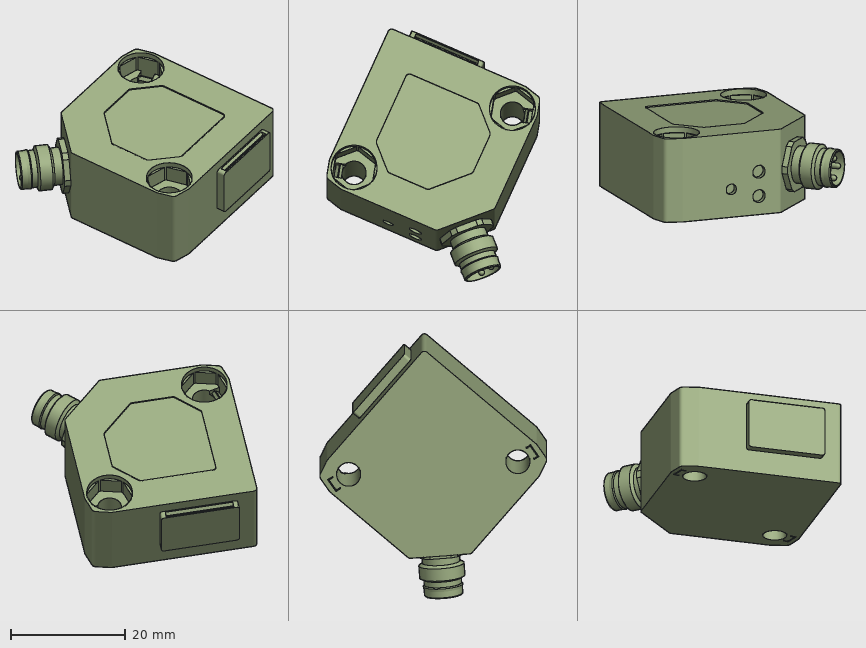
import cadquery as cq
import math

OVERALL_LENGTH = 35.95

BODY_SIDE = 30.0
BODY_HEIGHT = 15.05
HALF_SIDE = BODY_SIDE / 2
TOP_Z = BODY_HEIGHT / 2

CONNECTOR_CORNER_CUT = 7.7
CONNECTOR_CORNER_RADIUS = 0.65
PLAIN_CORNER_RADIUS = 0.7

BEVEL_LENGTH = 4.0
BEVEL_ANGLE = math.radians(15)
BEVEL_TIP = BEVEL_LENGTH * math.tan(BEVEL_ANGLE) / (1 + math.tan(BEVEL_ANGLE))
BEVEL_TIP_RADIUS = 0.9
BEVEL_END_RADIUS = 1.0

LABEL_SIDE = 17.75
LABEL_SCREW_CUT = 4.17
LABEL_CONNECTOR_CUT = 5.93
LABEL_CORNER_RADIUS = 0.7
LABEL_DEPTH = 0.2

SCREW_OFFSET = 10.5
SCREW_DIAMETER = 4.2
POCKET_DIAMETER = 8.0
POCKET_RIM_DEPTH = 1.0
NUT_ACROSS_FLATS = 7.1
NUT_DEPTH = 3.0
NUT_ROTATION = 45
POCKET_FLOOR_Z = TOP_Z - POCKET_RIM_DEPTH - NUT_DEPTH

CLIP_ANGLE = NUT_ROTATION + 60
CLIP_SLOT_WIDTH = 2.55
CLIP_GAP = 0.18
CLIP_RIDGE_RADIUS = 2.6
CLIP_RIDGE_WIDTH = 0.18
CLIP_RIDGE_DROP = 0.35
CLIP_EDGE_DROP = 0.95

INDICATORS = [(-3.25, 0.2, 2.3), (-3.25, -4.17, 2.3), (1.98, -2.48, 1.9)]
INDICATOR_DEPTH = 1.0

LENS_PROJECTION = 1.5
LENS_LENGTH = 13.9
LENS_HEIGHT = 8.95
LENS_CENTRE_Y = 4.53
LENS_CENTRE_Z = 1.2
LENS_CORNER_RADIUS = 0.5
GROOVE_LENGTH = 12.0
GROOVE_TOP_WIDTH = 1.05
GROOVE_FLOOR_WIDTH = 0.2
GROOVE_DEPTH = 0.5

COLLAR_ACROSS_FLATS = 9.0
COLLAR_ACROSS_CORNERS = 9.63
COLLAR_THICKNESS = 1.08
COLLAR_ROTATION = 30
SHANK_RADIUS = 3.3
RING_RADIUS = 4.0
RING_START = 2.55
RING_FULL_START = 3.0
RING_FULL_END = 5.18
RING_END = 5.55
LIP_START = 6.5
LIP_FULL_START = 6.72
LIP_RADIUS = 3.5
SLEEVE_START = 7.3
SLEEVE_RADIUS = 3.38
TIP_CHAMFER = 0.18
SOCKET_RADIUS = 3.02
SOCKET_DEPTH = 5.03
PIN_RADIUS = 0.5
PIN_CIRCLE_RADIUS = 1.75
PIN_CENTRE = 7.8
PIN_ANGLES = [0, 90, 270]

FACE_OFFSET = HALF_SIDE - CONNECTOR_CORNER_CUT / 2
CONNECTOR_FACE = cq.Plane(origin=(-FACE_OFFSET, -FACE_OFFSET, 0), xDir=(1, -1, 0), normal=(-1, -1, 0))

PLUG_REACH_X = OVERALL_LENGTH - HALF_SIDE - LENS_PROJECTION - FACE_OFFSET
CONNECTOR_LENGTH = PLUG_REACH_X * math.sqrt(2) - SLEEVE_RADIUS + TIP_CHAMFER


def make_body():
    s = HALF_SIDE
    corners = [
        (-s + CONNECTOR_CORNER_CUT, -s),
        (s - BEVEL_LENGTH, -s),
        (s - BEVEL_TIP, -s + BEVEL_TIP),
        (s, -s + BEVEL_LENGTH),
        (s, s),
        (-s + BEVEL_LENGTH, s),
        (-s + BEVEL_TIP, s - BEVEL_TIP),
        (-s, s - BEVEL_LENGTH),
        (-s, -s + CONNECTOR_CORNER_CUT),
    ]
    radii = [
        CONNECTOR_CORNER_RADIUS,
        BEVEL_END_RADIUS,
        BEVEL_TIP_RADIUS,
        BEVEL_END_RADIUS,
        PLAIN_CORNER_RADIUS,
        BEVEL_END_RADIUS,
        BEVEL_TIP_RADIUS,
        BEVEL_END_RADIUS,
        CONNECTOR_CORNER_RADIUS,
    ]
    body = cq.Workplane("XY").workplane(offset=-TOP_Z).polyline(corners).close().extrude(BODY_HEIGHT)
    for (x, y), radius in zip(corners, radii):
        body = body.edges(cq.NearestToPointSelector((x, y, 0))).fillet(radius)
    return body


def make_label_recess():
    h = LABEL_SIDE / 2
    outline = [
        (-h + LABEL_CONNECTOR_CUT, -h),
        (h - LABEL_SCREW_CUT, -h),
        (h, -h + LABEL_SCREW_CUT),
        (h, h),
        (-h + LABEL_SCREW_CUT, h),
        (-h, h - LABEL_SCREW_CUT),
        (-h, -h + LABEL_CONNECTOR_CUT),
    ]
    recess = cq.Workplane("XY").workplane(offset=TOP_Z - LABEL_DEPTH).polyline(outline).close()
    return recess.extrude(LABEL_DEPTH).edges("|Z").fillet(LABEL_CORNER_RADIUS)


def make_clip_gap():
    """Space round one clip, with the clip pointing along +X from the hole axis."""
    outer = NUT_ACROSS_FLATS / 2
    clip_outer = outer - CLIP_GAP
    ridge_z = POCKET_FLOOR_Z - CLIP_RIDGE_DROP
    edge_z = POCKET_FLOOR_Z - CLIP_EDGE_DROP
    roof = [
        (0, POCKET_FLOOR_Z),
        (outer, POCKET_FLOOR_Z),
        (outer, edge_z),
        (clip_outer, edge_z),
        (CLIP_RIDGE_RADIUS + CLIP_RIDGE_WIDTH, ridge_z),
        (CLIP_RIDGE_RADIUS, ridge_z),
        (SCREW_DIAMETER / 2, edge_z),
        (0, edge_z),
    ]
    above_clip = cq.Workplane("XZ").polyline(roof).close().extrude(CLIP_SLOT_WIDTH / 2, both=True)

    gap_length = outer - CLIP_RIDGE_RADIUS
    gap_height = POCKET_FLOOR_Z + TOP_Z
    from_inner_edge = (False, True, False)
    slot = cq.Workplane("XY").box(gap_length, CLIP_SLOT_WIDTH, gap_height, centered=from_inner_edge)
    clip_width = CLIP_SLOT_WIDTH - 2 * CLIP_GAP
    clip = cq.Workplane("XY").box(gap_length - CLIP_GAP, clip_width, gap_height, centered=from_inner_edge)
    around_clip = slot.cut(clip).translate((CLIP_RIDGE_RADIUS, 0, -TOP_Z))
    return above_clip.union(around_clip)


def make_screw_hole():
    """Hole, hexagonal nut pocket and clip gap for the -X +Y corner, on the Z axis."""
    hole = cq.Workplane("XY").circle(SCREW_DIAMETER / 2).extrude(TOP_Z, both=True)
    rim = (
        cq.Workplane("XY")
        .workplane(offset=TOP_Z - POCKET_RIM_DEPTH)
        .circle(POCKET_DIAMETER / 2)
        .extrude(POCKET_RIM_DEPTH)
    )
    bore = cq.Workplane("XY").workplane(offset=POCKET_FLOOR_Z).circle(POCKET_DIAMETER / 2).extrude(NUT_DEPTH)
    nut = (
        cq.Workplane("XY")
        .workplane(offset=POCKET_FLOOR_Z)
        .polygon(6, NUT_ACROSS_FLATS, circumscribed=True)
        .extrude(NUT_DEPTH)
        .rotate((0, 0, 0), (0, 0, 1), NUT_ROTATION)
        .intersect(bore)
    )
    clip_gap = make_clip_gap().rotate((0, 0, 0), (0, 0, 1), CLIP_ANGLE)
    return hole.union(rim).union(nut).union(clip_gap)


def make_indicator_hole(y, z, diameter):
    return cq.Workplane("YZ", origin=(-HALF_SIDE, y, z)).circle(diameter / 2).extrude(INDICATOR_DEPTH)


def make_lens():
    lens = (
        cq.Workplane("YZ", origin=(HALF_SIDE, LENS_CENTRE_Y, LENS_CENTRE_Z))
        .rect(LENS_LENGTH, LENS_HEIGHT)
        .extrude(LENS_PROJECTION)
        .edges("|X")
        .fillet(LENS_CORNER_RADIUS)
    )
    groove_top = (HALF_SIDE + LENS_PROJECTION / 2, LENS_CENTRE_Y, LENS_CENTRE_Z + LENS_HEIGHT / 2)
    groove_section = [
        (-GROOVE_TOP_WIDTH / 2, 0),
        (-GROOVE_FLOOR_WIDTH / 2, -GROOVE_DEPTH),
        (GROOVE_FLOOR_WIDTH / 2, -GROOVE_DEPTH),
        (GROOVE_TOP_WIDTH / 2, 0),
    ]
    groove = cq.Workplane("XZ", origin=groove_top).polyline(groove_section).close()
    groove = groove.extrude(GROOVE_LENGTH / 2, both=True)
    return lens.cut(groove)


def make_collar():
    trimmed_corners = cq.Workplane(CONNECTOR_FACE).polygon(6, COLLAR_ACROSS_CORNERS, circumscribed=True)
    flats = cq.Workplane(CONNECTOR_FACE).transformed(rotate=(0, 0, COLLAR_ROTATION))
    flats = flats.polygon(6, COLLAR_ACROSS_FLATS, circumscribed=True)
    return flats.extrude(COLLAR_THICKNESS).intersect(trimmed_corners.extrude(COLLAR_THICKNESS))


def make_plug():
    """Stepped round sleeve, closed at the bottom of its socket."""
    section = [
        (0, 0),
        (SHANK_RADIUS, 0),
        (SHANK_RADIUS, RING_START),
        (RING_RADIUS, RING_FULL_START),
        (RING_RADIUS, RING_FULL_END),
        (SHANK_RADIUS, RING_END),
        (SHANK_RADIUS, LIP_START),
        (LIP_RADIUS, LIP_FULL_START),
        (SLEEVE_RADIUS, SLEEVE_START),
        (SLEEVE_RADIUS, CONNECTOR_LENGTH - TIP_CHAMFER),
        (SLEEVE_RADIUS - TIP_CHAMFER, CONNECTOR_LENGTH),
        (SOCKET_RADIUS, CONNECTOR_LENGTH),
        (SOCKET_RADIUS, CONNECTOR_LENGTH - SOCKET_DEPTH),
        (0, CONNECTOR_LENGTH - SOCKET_DEPTH),
    ]
    axis_plane = cq.Plane(origin=CONNECTOR_FACE.origin, xDir=CONNECTOR_FACE.xDir, normal=(0, 0, -1))
    return cq.Workplane(axis_plane).polyline(section).close().revolve(360, (0, 0), (0, 1))


def make_pin(angle):
    """Round-ended contact pin, standing on the socket floor."""
    across = PIN_CIRCLE_RADIUS * math.cos(math.radians(angle))
    up = PIN_CIRCLE_RADIUS * math.sin(math.radians(angle))
    shaft = cq.Workplane(CONNECTOR_FACE).center(across, up).circle(PIN_RADIUS).extrude(PIN_CENTRE)
    tip_centre = CONNECTOR_FACE.toWorldCoords((across, up, PIN_CENTRE))
    tip = cq.Workplane("XY").sphere(PIN_RADIUS).translate(tip_centre)
    return shaft.union(tip)


body = make_body()
body = body.cut(make_label_recess())
screw_hole = make_screw_hole()
for hole_turn, hole_x in [(0, -SCREW_OFFSET), (180, SCREW_OFFSET)]:
    placed_hole = screw_hole.rotate((0, 0, 0), (0, 0, 1), hole_turn).translate((hole_x, -hole_x, 0))
    body = body.cut(placed_hole)
for hole_y, hole_z, diameter in INDICATORS:
    body = body.cut(make_indicator_hole(hole_y, hole_z, diameter))

result = body.union(make_lens()).union(make_collar()).union(make_plug())
for pin_angle in PIN_ANGLES:
    result = result.union(make_pin(pin_angle))